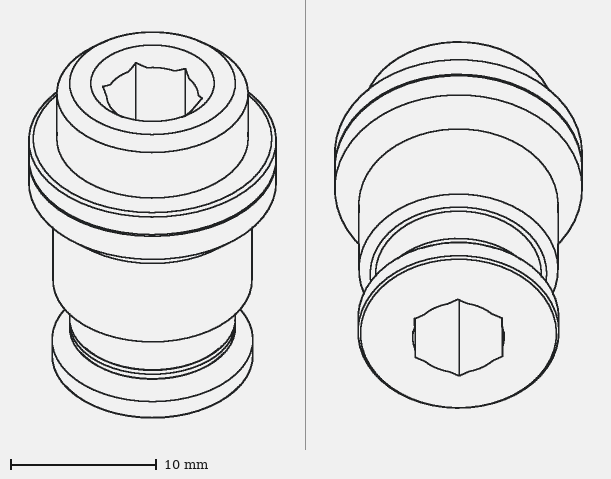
import cadquery as cq
import math

TOP_DIAMETER = 13.15
COLLAR_DIAMETER = 17.0
COLLAR_GROOVE_DIAMETER = 16.4
BODY_DIAMETER = 13.7
STEM_DIAMETER = 11.4
NECK_DIAMETER = 9.4
FLANGE_DIAMETER = 13.8
BOTTOM_FACE_DIAMETER = 8.5

FLANGE_TOP = 2.0
RING_BOTTOM = 2.88
RING_TOP = 3.6
BODY_BOTTOM = 6.7
COLLAR_BOTTOM = 15.7
COLLAR_GROOVE_BOTTOM = 17.71
COLLAR_TOP = 19.55
HEIGHT = 24.4

TOP_CHAMFER = 0.88
COLLAR_EDGE_HEIGHT = 0.15
COLLAR_GROOVE_WIDTH = 0.15
BODY_CHAMFER_WIDTH = 0.78
BODY_CHAMFER_HEIGHT = 0.46
RING_CHAMFER = 0.17
STEM_CHAMFER = 0.22
NECK_FILLET = 0.4
FLANGE_EDGE_CHAMFER = 0.17
BOTTOM_TAPER_ANGLE = 10

HEX_ACROSS_FLATS = 6.0
RELIEF_DIAMETER = 6.3
COUNTERSINK_DIAMETER = 8.5
COUNTERSINK_HALF_ANGLE = 45

top_radius = TOP_DIAMETER / 2
collar_radius = COLLAR_DIAMETER / 2
collar_groove_radius = COLLAR_GROOVE_DIAMETER / 2
body_radius = BODY_DIAMETER / 2
stem_radius = STEM_DIAMETER / 2
neck_radius = NECK_DIAMETER / 2
flange_radius = FLANGE_DIAMETER / 2
bottom_face_radius = BOTTOM_FACE_DIAMETER / 2


def outer_body():
    """Revolve the stepped outline about Z, from the bottom face upwards."""
    taper_radius = flange_radius - FLANGE_EDGE_CHAMFER
    taper_height = (taper_radius - bottom_face_radius) * math.tan(math.radians(BOTTOM_TAPER_ANGLE))
    body_taper_height = collar_radius - body_radius
    collar_groove_top = COLLAR_GROOVE_BOTTOM + COLLAR_GROOVE_WIDTH
    arc_inset = NECK_FILLET * (1 - math.sqrt(0.5))

    profile = (
        cq.Workplane("XZ")
        .moveTo(0, 0)
        .lineTo(bottom_face_radius, 0)
        .lineTo(taper_radius, taper_height)
        .lineTo(flange_radius, taper_height + FLANGE_EDGE_CHAMFER)
        .lineTo(flange_radius, FLANGE_TOP)
        .lineTo(neck_radius + NECK_FILLET, FLANGE_TOP)
        .threePointArc(
            (neck_radius + arc_inset, FLANGE_TOP + arc_inset),
            (neck_radius, FLANGE_TOP + NECK_FILLET),
        )
        .lineTo(neck_radius, RING_BOTTOM)
        .lineTo(stem_radius - RING_CHAMFER, RING_BOTTOM)
        .lineTo(stem_radius, RING_BOTTOM + RING_CHAMFER)
        .lineTo(stem_radius, RING_TOP - RING_CHAMFER)
        .lineTo(stem_radius - STEM_CHAMFER, RING_TOP)
        .lineTo(stem_radius, RING_TOP + STEM_CHAMFER)
        .lineTo(stem_radius, BODY_BOTTOM)
        .lineTo(body_radius - BODY_CHAMFER_WIDTH, BODY_BOTTOM)
        .lineTo(body_radius, BODY_BOTTOM + BODY_CHAMFER_HEIGHT)
        .lineTo(body_radius, COLLAR_BOTTOM - body_taper_height)
        .lineTo(collar_radius, COLLAR_BOTTOM)
        .lineTo(collar_radius, COLLAR_GROOVE_BOTTOM)
        .lineTo(collar_groove_radius, COLLAR_GROOVE_BOTTOM)
        .lineTo(collar_groove_radius, collar_groove_top)
        .lineTo(collar_radius, collar_groove_top)
        .lineTo(collar_radius, COLLAR_TOP - COLLAR_EDGE_HEIGHT)
        .lineTo(collar_groove_radius, COLLAR_TOP)
        .lineTo(top_radius, COLLAR_TOP)
        .lineTo(top_radius, HEIGHT - TOP_CHAMFER)
        .lineTo(top_radius - TOP_CHAMFER, HEIGHT)
        .lineTo(0, HEIGHT)
        .close()
    )
    return profile.revolve(360, (0, 0), (0, 1))


def socket():
    """Through socket: a hexagon with corners along Y, a round relief and a conical entry."""
    corner_diameter = HEX_ACROSS_FLATS / math.cos(math.radians(30))
    hexagon = (
        cq.Workplane("XY")
        .transformed(rotate=(0, 0, 90))
        .polygon(6, corner_diameter)
        .extrude(HEIGHT)
    )
    relief = cq.Workplane("XY").circle(RELIEF_DIAMETER / 2).extrude(HEIGHT)
    entry_radius = COUNTERSINK_DIAMETER / 2
    entry_depth = entry_radius / math.tan(math.radians(COUNTERSINK_HALF_ANGLE))
    entry = (
        cq.Workplane("XZ")
        .moveTo(0, HEIGHT)
        .lineTo(entry_radius, HEIGHT)
        .lineTo(0, HEIGHT - entry_depth)
        .close()
        .revolve(360, (0, 0), (0, 1))
    )
    return hexagon.union(relief).union(entry)


result = outer_body().cut(socket())